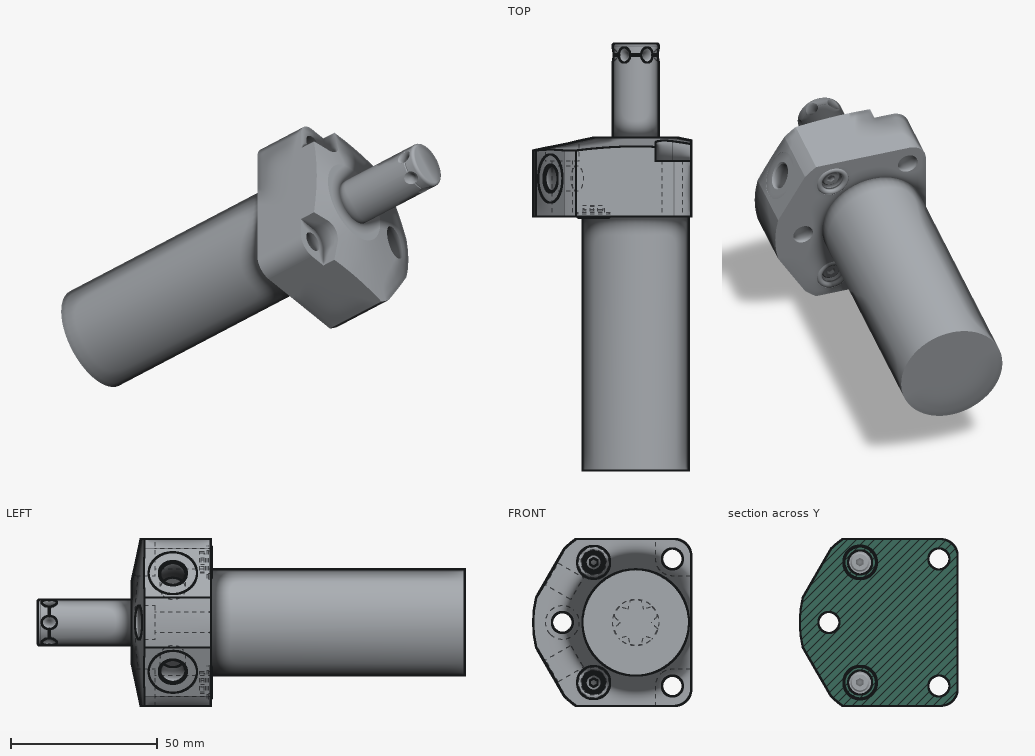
import cadquery as cq
import math


body_diameter = 36.3
overall_length = 145.63
rod_reach = 59.1
body_length = overall_length - rod_reach
rod_diameter = 15.8
rod_end_rounding = 1.0

dimple_count = 6
dimple_diameter = 5.2
dimple_depth = dimple_diameter / 2
dimple_from_end = 4.0
groove_width = 0.6
groove_depth = 0.2

flange_thickness = 27.0
flange_radius = 35.0
flange_height = 57.0
flange_right = 19.0
flange_corner_radius = 6.0
port_face_distance = 33.65
port_face_angles = (150.0, 210.0)
top_cone_radius = 14.2
top_cone_angle = 12.0

bolt_circle_radius = 25.0
mounting_hole_angles = (60.0, 180.0, 300.0)
mounting_hole_diameter = 7.0
head_recess_radius = 5.75
head_recess_floor = 19.0

port_height = 13.0
port_diameter = 8.6
port_mouth_diameter = 9.6
port_depth = 10.5
spot_face_diameter = 16.5
spot_face_depth = 0.1

seal_angles = (125.0, 235.0)
seal_outer_diameter = 11.4
seal_cord_diameter = 1.9
seal_protrusion = 0.4
seal_squeeze = 0.1
seal_bore_diameter = seal_outer_diameter - seal_squeeze
seal_bore_depth = seal_cord_diameter - seal_protrusion - seal_squeeze
passage_diameter = 7.4
passage_depth = 3.9
plug_diameter = 6.5
plug_chamfer = 0.5
plug_recess = 1.9
socket_width = 2.5
socket_depth = 1.5

axis_y = cq.Vector(0, 1, 0)


def cylinder_y(x, z, diameter, y_start, y_end):
    """Cylinder parallel to Y between two heights."""
    base = cq.Vector(x, y_start, z)
    return cq.Workplane(obj=cq.Solid.makeCylinder(diameter / 2, y_end - y_start, base, axis_y))


def polar(radius, angle):
    """X and Z of a point at a polar position around the cylinder axis."""
    turn = math.radians(angle)
    return radius * math.cos(turn), radius * math.sin(turn)


def box(x_range, y_range, z_range):
    """Box given by its limits along each axis."""
    size = [high - low for low, high in (x_range, y_range, z_range)]
    corner = (x_range[0], y_range[0], z_range[0])
    return cq.Workplane("XY").box(*size, centered=False).translate(corner)


def make_rod():
    rod = cylinder_y(0, 0, rod_diameter, 0, rod_reach)
    rod = rod.faces(">Y").edges().fillet(rod_end_rounding)

    dimple_y = rod_reach - dimple_from_end
    radius = rod_diameter / 2
    groove = (
        cq.Workplane("XY")
        .moveTo(radius, dimple_y - groove_width / 2)
        .lineTo(radius, dimple_y + groove_width / 2)
        .lineTo(radius - groove_depth, dimple_y)
        .close()
        .revolve(360, (0, 0, 0), (0, 1, 0))
    )
    rod = rod.cut(groove)

    cone_length = 2 * dimple_depth
    tip = cq.Vector(radius - dimple_depth, dimple_y, 0)
    cone = cq.Workplane(obj=cq.Solid.makeCone(0, cone_length, cone_length, tip, cq.Vector(1, 0, 0)))
    for index in range(dimple_count):
        rod = rod.cut(cone.rotate((0, 0, 0), (0, 1, 0), index * 360 / dimple_count))
    return rod


def make_flange_blank():
    """Round flange with a conical rod side, trimmed flat on five sides."""
    rim_height = flange_thickness - (flange_radius - top_cone_radius) * math.tan(math.radians(top_cone_angle))
    blank = (
        cq.Workplane("XY")
        .polyline([
            (0, 0),
            (flange_radius, 0),
            (flange_radius, rim_height),
            (top_cone_radius, flange_thickness),
            (0, flange_thickness),
        ])
        .close()
        .revolve(360, (0, 0, 0), (0, 1, 0))
    )
    half_height = flange_height / 2
    envelope = box(
        (-flange_radius, flange_right), (0, flange_thickness), (-half_height, half_height)
    )
    envelope = envelope.edges("|Y and >X").fillet(flange_corner_radius)
    blank = blank.intersect(envelope)

    for angle in port_face_angles:
        trim = box(
            (port_face_distance, flange_radius + 1), (0, flange_thickness), (-flange_radius, flange_radius)
        )
        blank = blank.cut(trim.rotate((0, 0, 0), (0, 1, 0), -angle))
    return blank


def cut_mounting_holes(flange):
    for angle in mounting_hole_angles:
        x, z = polar(bolt_circle_radius, angle)
        flange = flange.cut(cylinder_y(x, z, mounting_hole_diameter, 0, flange_thickness))
        flange = flange.cut(
            cylinder_y(x, z, 2 * head_recess_radius, head_recess_floor, flange_thickness)
        )

    corner_x, corner_z = polar(bolt_circle_radius, mounting_hole_angles[0])
    recess_heights = (head_recess_floor, flange_thickness)
    sideways = box(
        (corner_x, flange_right),
        recess_heights,
        (corner_z - head_recess_radius, flange_height / 2),
    )
    upright = box(
        (corner_x - head_recess_radius, flange_right),
        recess_heights,
        (corner_z, flange_height / 2),
    )
    corner = sideways.union(upright)
    return flange.cut(corner).cut(corner.mirror("XY"))


def cut_side_ports(flange):
    chamfer = (port_mouth_diameter - port_diameter) / 2
    seat = port_face_distance - spot_face_depth
    bottom = seat - port_depth
    tool = (
        cq.Workplane("XY")
        .polyline([
            (bottom, port_height),
            (bottom, port_height + port_diameter / 2),
            (seat - chamfer, port_height + port_diameter / 2),
            (seat, port_height + port_mouth_diameter / 2),
            (seat, port_height + spot_face_diameter / 2),
            (flange_radius, port_height + spot_face_diameter / 2),
            (flange_radius, port_height),
        ])
        .close()
        .revolve(360, (0, port_height, 0), (1, port_height, 0))
    )
    for angle in port_face_angles:
        flange = flange.cut(tool.rotate((0, 0, 0), (0, 1, 0), -angle))
    return flange


def add_sealed_ports(flange):
    ring_radius = (seal_outer_diameter - seal_cord_diameter) / 2
    ring_y = seal_cord_diameter / 2 - seal_protrusion
    socket = (
        cq.Workplane("XZ", origin=(0, plug_recess, 0))
        .polygon(6, socket_width / math.cos(math.pi / 6))
        .extrude(-socket_depth)
        .rotate((0, 0, 0), (0, 1, 0), 30)
    )
    for angle in seal_angles:
        x, z = polar(bolt_circle_radius, angle)
        flange = flange.cut(cylinder_y(x, z, seal_bore_diameter, 0, seal_bore_depth))
        flange = flange.cut(cylinder_y(x, z, passage_diameter, 0, passage_depth))
        plug = cylinder_y(x, z, plug_diameter, plug_recess, passage_depth)
        plug = plug.faces("<Y").edges().chamfer(plug_chamfer)
        flange = flange.union(plug.cut(socket.translate((x, 0, z))))
        ring = cq.Solid.makeTorus(ring_radius, seal_cord_diameter / 2, cq.Vector(x, ring_y, z), axis_y)
        flange = flange.union(cq.Workplane(obj=ring))
    return flange


flange = make_flange_blank()
flange = cut_mounting_holes(flange)
flange = cut_side_ports(flange)
flange = add_sealed_ports(flange)
body = cylinder_y(0, 0, body_diameter, -body_length, 0)

result = flange.union(body).union(make_rod())